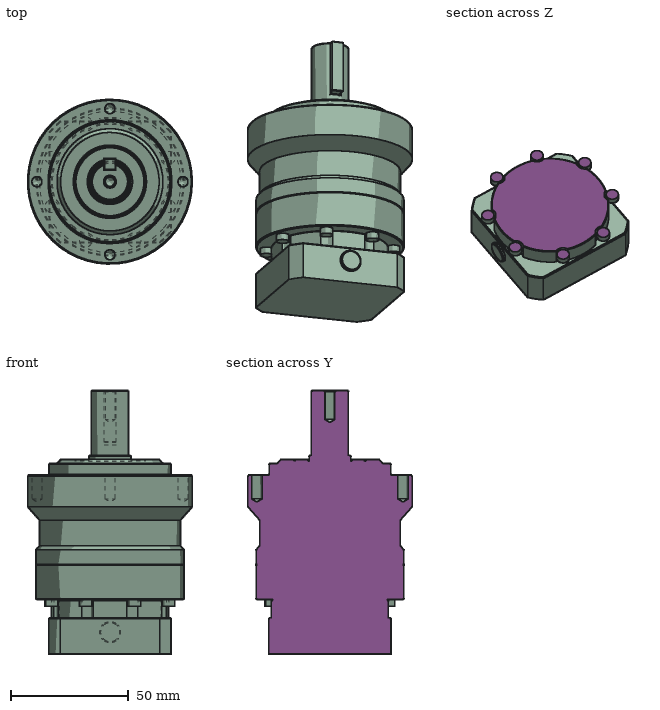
import cadquery as cq
import math

TOTAL_HEIGHT = 112.0
BASE_TOP = 15.5
HEAD_BOTTOM = 20.3
BODY_BOTTOM = 23.1
SEAM_HEIGHT = 38.0
SHOULDER_BOTTOM = 44.4
FLANGE_BOTTOM = 62.5
FLANGE_TOP = 76.0
PILOT_TOP = 81.0
CAP_TOP = 82.7
COLLAR_TOP = 84.5

FLANGE_RADIUS = 35.0
NECK_RADIUS = 30.0
BODY_RADIUS = 31.5
PILOT_RADIUS = 26.0
CAP_BASE_RADIUS = 22.5
CAP_TOP_RADIUS = 21.0
COLLAR_RADIUS = 9.0
SHAFT_RADIUS = 8.0
BOSS_RADIUS = 25.0

NECK_TAPER = 5.6
SHOULDER_TAPER = 1.6
EDGE_CHAMFER = 0.5
SEAM_DEPTH = 0.2
PILOT_FLARE = 0.3

SEAL_RADIUS = 15.0
SEAL_GROOVE_DEPTH = 0.6
SEAL_LIP_RADIUS = 9.6
SEAL_LIP_DEPTH = 0.7

BASE_WIDTH = 52.0
BASE_CORNER_RADIUS = 33.5
PLUG_RADIUS = 4.5
PLUG_CENTRE_HEIGHT = 9.4
PLUG_PROTRUSION = 1.3

SCREW_COUNT = 8
SCREW_CIRCLE_RADIUS = 27.0
SCREW_HEAD_RADIUS = 2.7
SCALLOP_RADIUS = 3.4

FLANGE_HOLE_COUNT = 4
FLANGE_HOLE_CIRCLE_RADIUS = 31.0
FLANGE_HOLE_RADIUS = 2.1
FLANGE_HOLE_DEPTH = 10.1
SHAFT_HOLE_RADIUS = 2.0
SHAFT_HOLE_MOUTH_RADIUS = 2.7
SHAFT_HOLE_DEPTH = 12.3
DRILL_HALF_ANGLE = math.radians(59)

KEY_WIDTH = 5.0
KEY_TOP = 10.0
KEY_LENGTH = 22.0
KEYWAY_LENGTH = 23.1
KEY_CHAMFER = 0.3


def discs(centres, radius, bottom, top):
    """Upright cylinders of one size, one at each centre."""
    plane = cq.Workplane("XY").workplane(offset=bottom)
    return plane.pushPoints(centres).circle(radius).extrude(top - bottom)


def disc(radius, bottom, top):
    """Upright cylinder on the shaft axis."""
    return discs([(0, 0)], radius, bottom, top)


def turned(profile):
    """Solid of revolution about Z from (radius, height) points."""
    return cq.Workplane("XZ").polyline(profile).close().revolve(360, (0, 0), (0, 1))


def around(count, radius, first_angle):
    """Equally spaced points on a circle about the shaft axis."""
    angles = [first_angle + i * 2 * math.pi / count for i in range(count)]
    return [(radius * math.cos(a), radius * math.sin(a)) for a in angles]


def housing():
    """Turned body, output flange, pilot, seal cap and shaft."""
    profile = [
        (0, BODY_BOTTOM),
        (BODY_RADIUS - EDGE_CHAMFER, BODY_BOTTOM),
        (BODY_RADIUS, BODY_BOTTOM + EDGE_CHAMFER),
        (BODY_RADIUS, SEAM_HEIGHT - SEAM_DEPTH),
        (BODY_RADIUS - SEAM_DEPTH, SEAM_HEIGHT),
        (BODY_RADIUS, SEAM_HEIGHT + SEAM_DEPTH),
        (BODY_RADIUS, SHOULDER_BOTTOM),
        (NECK_RADIUS, SHOULDER_BOTTOM + SHOULDER_TAPER),
        (NECK_RADIUS, FLANGE_BOTTOM - NECK_TAPER),
        (FLANGE_RADIUS, FLANGE_BOTTOM),
        (FLANGE_RADIUS, FLANGE_TOP - EDGE_CHAMFER),
        (FLANGE_RADIUS - EDGE_CHAMFER, FLANGE_TOP),
        (PILOT_RADIUS + PILOT_FLARE, FLANGE_TOP),
        (PILOT_RADIUS, FLANGE_TOP + PILOT_FLARE),
        (PILOT_RADIUS, PILOT_TOP - EDGE_CHAMFER),
        (PILOT_RADIUS - EDGE_CHAMFER, PILOT_TOP),
        (CAP_BASE_RADIUS, PILOT_TOP),
        (CAP_TOP_RADIUS, CAP_TOP),
        (SEAL_RADIUS + SEAL_GROOVE_DEPTH, CAP_TOP),
        (SEAL_RADIUS, CAP_TOP - SEAL_GROOVE_DEPTH),
        (SEAL_RADIUS - SEAL_GROOVE_DEPTH, CAP_TOP),
        (SEAL_LIP_RADIUS, CAP_TOP),
        (COLLAR_RADIUS, CAP_TOP - SEAL_LIP_DEPTH),
        (COLLAR_RADIUS, COLLAR_TOP - EDGE_CHAMFER),
        (COLLAR_RADIUS - EDGE_CHAMFER, COLLAR_TOP),
        (SHAFT_RADIUS, COLLAR_TOP),
        (SHAFT_RADIUS, TOTAL_HEIGHT - EDGE_CHAMFER),
        (SHAFT_RADIUS - EDGE_CHAMFER, TOTAL_HEIGHT),
        (0, TOTAL_HEIGHT),
    ]
    return turned(profile)


def motor_flange():
    """Square plate with its corners turned round, and a plug in its +Y side."""
    square = cq.Workplane("XY").rect(BASE_WIDTH, BASE_WIDTH).extrude(BASE_TOP)
    plate = square.intersect(disc(BASE_CORNER_RADIUS, 0, BASE_TOP))
    plate = plate.faces(">Z").chamfer(EDGE_CHAMFER)
    plug = (
        cq.Workplane("XZ", origin=(0, BASE_WIDTH / 2 + PLUG_PROTRUSION, PLUG_CENTRE_HEIGHT))
        .circle(PLUG_RADIUS)
        .extrude(2 * PLUG_PROTRUSION)
        .faces(">Y")
        .chamfer(EDGE_CHAMFER)
    )
    return plate.union(plug)


def screwed_boss():
    """Boss joining body and motor flange, scalloped around the cap screws."""
    centres = around(SCREW_COUNT, SCREW_CIRCLE_RADIUS, math.pi / SCREW_COUNT)
    scallops = discs(centres, SCALLOP_RADIUS, BASE_TOP, BODY_BOTTOM)
    heads = discs(centres, SCREW_HEAD_RADIUS, HEAD_BOTTOM, BODY_BOTTOM)
    boss = disc(BOSS_RADIUS, BASE_TOP, BODY_BOTTOM).faces(">Z").chamfer(EDGE_CHAMFER)
    return boss.cut(scallops).union(heads)


def drilled_hole(radius, depth):
    """Blind hole with the cone left by the drill tip."""
    tip_length = radius / math.tan(DRILL_HALF_ANGLE)
    return turned([(0, 0), (radius, 0), (radius, -depth), (0, -depth - tip_length)])


def countersink(mouth_radius):
    """Cone of 90 degrees that opens the mouth of a hole."""
    return turned([(0, 0), (mouth_radius, 0), (0, -mouth_radius)])


def key_bar(length):
    """Square bar along the +Y side of the shaft, ending flush with the shaft tip."""
    return (
        cq.Workplane("XY").workplane(offset=TOTAL_HEIGHT - length)
        .center(0, KEY_TOP - KEY_WIDTH / 2)
        .rect(KEY_WIDTH, KEY_WIDTH)
        .extrude(length)
    )


def shaft_key():
    """Key with chamfered ends, a little shorter than its keyway."""
    return key_bar(KEY_LENGTH).faces("<Z or >Z").chamfer(KEY_CHAMFER)


result = housing().union(screwed_boss()).union(motor_flange())
result = result.cut(key_bar(KEYWAY_LENGTH)).union(shaft_key())
for x, y in around(FLANGE_HOLE_COUNT, FLANGE_HOLE_CIRCLE_RADIUS, 0):
    flange_hole = drilled_hole(FLANGE_HOLE_RADIUS, FLANGE_HOLE_DEPTH)
    result = result.cut(flange_hole.translate((x, y, FLANGE_TOP)))
shaft_hole = drilled_hole(SHAFT_HOLE_RADIUS, SHAFT_HOLE_DEPTH).union(countersink(SHAFT_HOLE_MOUTH_RADIUS))
result = result.cut(shaft_hole.translate((0, 0, TOTAL_HEIGHT)))